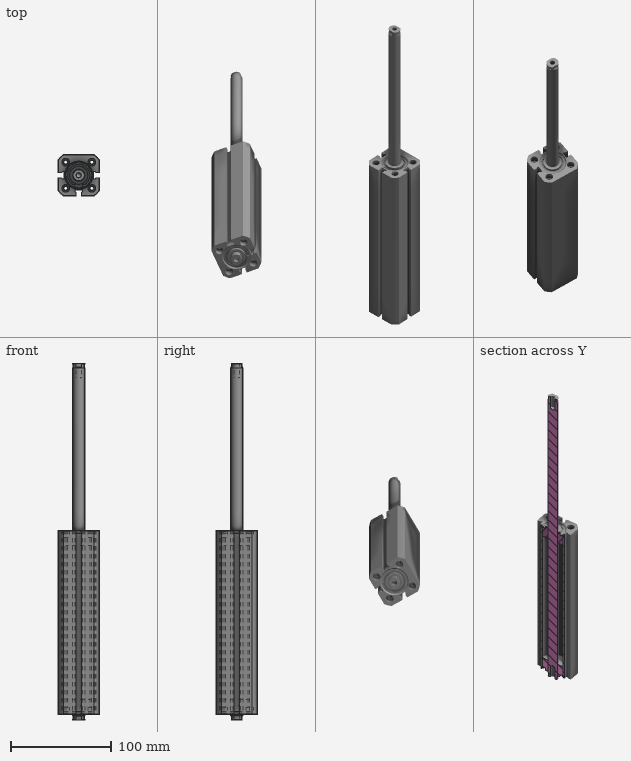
import cadquery as cq
import math


barrel_size = 41.0
barrel_length = 183.0
corner_radius = 25.5
bore_radius = 12.5
mouth_radius = 13.0
mouth_depth = 2.8
mouth_chamfer = 1.0

slot_half_width = 2.6
slot_inner_half_width = 3.6
slot_lip = 3.2
slot_flare = 1.0
slot_floor = 14.6
slot_angles = (0, 180, 270)

bolt_pitch = 26.0
bolt_hole_diameter = 4.0
counterbore_diameter = 7.5
counterbore_depth = 7.0

ring_thickness = 1.2
ring_groove_radius = 14.0
ring_inner_radius = 11.0
ring_gap_half = 3.8
ear_width = 3.4
ear_inner_reach = 9.4
ear_outer_reach = 12.0
ear_hole_diameter = 1.4

cap_boss_radius = 9.0
cap_body_length = 12.0

rod_radius = 6.0
total_length = 355.0
neck_length = 4.6
rod_lower_projection = 1.0
neck_radius = 5.65
rim_thickness = 0.5
flat_distance = 5.0
flat_length = 3.8
rod_thread_radius = 2.5
rod_thread_depth = 14.0
drill_tip_angle = 118.0

rod_bottom = -(rod_lower_projection + neck_length)
rod_top = rod_bottom + total_length
ring_floor = mouth_depth


def cylinder(radius, start, length):
    return cq.Workplane("XY").workplane(offset=start).circle(radius).extrude(length)


def slot_cutter(angle):
    """T-slot through the whole barrel, opening along +X before it is turned."""
    face = barrel_size / 2
    flare_start = face - slot_lip
    flare_end = flare_start - slot_flare
    return (
        cq.Workplane("XY")
        .moveTo(face, -slot_half_width)
        .lineTo(flare_start, -slot_half_width)
        .lineTo(flare_end, -slot_inner_half_width)
        .lineTo(slot_floor, -slot_inner_half_width)
        .lineTo(slot_floor, slot_inner_half_width)
        .lineTo(flare_end, slot_inner_half_width)
        .lineTo(flare_start, slot_half_width)
        .lineTo(face, slot_half_width)
        .close()
        .extrude(barrel_length)
        .rotate((0, 0, 0), (0, 0, 1), angle)
    )


def at_lower_end(upper_body):
    """Mirror a body of the upper end to the lower end of the barrel."""
    return upper_body.mirror("XY", (0, 0, barrel_length / 2))


def make_barrel():
    body = cq.Workplane("XY").rect(barrel_size, barrel_size).extrude(barrel_length)
    body = body.intersect(cylinder(corner_radius, 0, barrel_length))
    body = body.cut(cylinder(bore_radius, 0, barrel_length))
    for angle in slot_angles:
        body = body.cut(slot_cutter(angle))

    mouth = cylinder(mouth_radius, barrel_length - mouth_depth, mouth_depth)
    groove = cylinder(ring_groove_radius, barrel_length - ring_floor, ring_thickness)
    flare = (
        cq.Workplane("XY").workplane(offset=barrel_length).circle(mouth_radius + mouth_chamfer)
        .workplane(offset=-mouth_chamfer).circle(mouth_radius).loft()
    )
    end_recess = mouth.union(groove).union(flare)
    body = body.cut(end_recess).cut(at_lower_end(end_recess))

    bolts = cq.Workplane("XY").rect(bolt_pitch, bolt_pitch, forConstruction=True).vertices()
    body = body.cut(bolts.circle(bolt_hole_diameter / 2).extrude(barrel_length))
    counterbores = (
        cq.Workplane("XY").workplane(offset=barrel_length - counterbore_depth)
        .rect(bolt_pitch, bolt_pitch, forConstruction=True).vertices()
        .circle(counterbore_diameter / 2).extrude(counterbore_depth)
    )
    return body.cut(counterbores).cut(at_lower_end(counterbores))


def make_cap():
    """Upper end cap: guide body in the bore with a boss flush with the barrel face."""
    body_top = barrel_length - ring_floor
    cap = cylinder(bore_radius, body_top - cap_body_length, cap_body_length)
    cap = cap.union(cylinder(cap_boss_radius, body_top, ring_floor))
    return cap.cut(cylinder(rod_radius, 0, barrel_length))


def make_ring():
    """Upper internal retaining ring, with its gap and two ears on the -Y side."""
    bottom = barrel_length - ring_floor
    plane = cq.Workplane("XY").workplane(offset=bottom)
    ring = plane.circle(ring_groove_radius).circle(ring_inner_radius).extrude(ring_thickness)
    gap = (
        plane.center(0, -ring_groove_radius)
        .rect(2 * ring_gap_half, ring_groove_radius).extrude(ring_thickness)
    )
    ring = ring.cut(gap)
    ear_x = ring_gap_half + ear_width / 2
    ear_y = -(ear_inner_reach + ear_outer_reach) / 2
    for side in (-1, 1):
        ear = (
            plane.center(side * ear_x, ear_y)
            .rect(ear_width, ear_outer_reach - ear_inner_reach)
            .circle(ear_hole_diameter / 2)
            .extrude(ring_thickness)
        )
        ring = ring.union(ear)
    return ring


def rod_neck_cutter():
    """Material removed at the upper rod end: groove, wrench flats and threaded hole."""
    neck_bottom = rod_top - neck_length
    groove_length = neck_length - rim_thickness
    cutter = (
        cq.Workplane("XY").workplane(offset=neck_bottom)
        .circle(2 * rod_radius).circle(neck_radius).extrude(groove_length)
    )
    for side in (-1, 1):
        flat = (
            cq.Workplane("XY").workplane(offset=rod_top - flat_length)
            .center(0, side * (flat_distance + rod_radius / 2))
            .rect(2 * rod_radius, rod_radius).extrude(flat_length)
        )
        cutter = cutter.union(flat)

    tip_depth = rod_thread_radius / math.tan(math.radians(drill_tip_angle / 2))
    hole_floor = rod_top - rod_thread_depth
    hole = (
        cq.Workplane("XZ")
        .moveTo(0, rod_top)
        .lineTo(rod_thread_radius, rod_top)
        .lineTo(rod_thread_radius, hole_floor)
        .lineTo(0, hole_floor - tip_depth)
        .close()
        .revolve(360, (0, 0, 0), (0, 1, 0))
    )
    return cutter.union(hole)


def make_rod():
    rod = cylinder(rod_radius, rod_bottom, total_length)
    upper_end = rod_neck_cutter()
    lower_end = upper_end.mirror("XY", (0, 0, (rod_bottom + rod_top) / 2))
    return rod.cut(upper_end).cut(lower_end)


barrel = make_barrel()
piston_rod = make_rod()
upper_cap = make_cap()
upper_ring = make_ring()

bodies = [barrel.val(), piston_rod.val()]
for end_body in (upper_cap, upper_ring):
    bodies.append(end_body.val())
    bodies.append(at_lower_end(end_body).val())

result = cq.Compound.makeCompound(bodies)